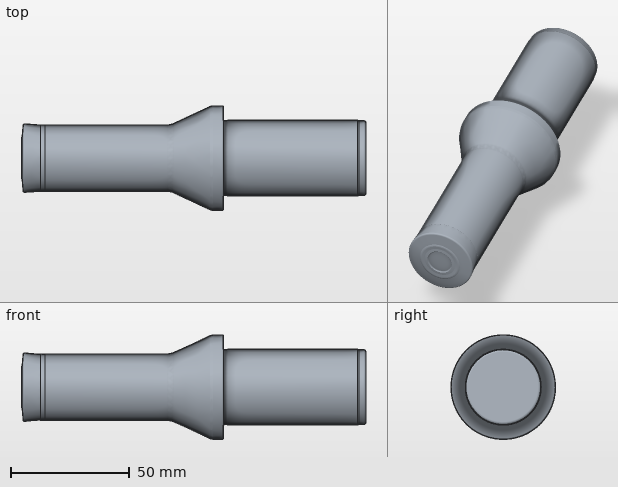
import cadquery as cq
import math

overall_length = 145.0

shaft_radius = 14.0
shank_radius = 16.0
relief_radius = 31.5 / 2
flange_radius = 22.0

flange_back = 85.0
flange_rim_length = 5.0
cone_angle = math.radians(25.0)
cone_foot_fillet = 5.0
cone_top_fillet = 3.0
flange_back_fillet = 0.5
cone_top = flange_back - flange_rim_length
cone_foot = cone_top - (flange_radius - shaft_radius) / math.tan(cone_angle)

undercut_width = 2.1
undercut_slope = 1.0
undercut_fillet = 0.4

pilot_length = 3.0
pilot_slope = 0.5
pilot_fillet = 1.0

tip_radius = 14.43
tip_widest = 1.4
plug_end = 9.8
plug_end_radius = 13.8
shaft_front = 8.05
taper = (tip_radius - plug_end_radius) / (plug_end - tip_widest)
seat_mouth_radius = tip_radius - taper * (shaft_front - tip_widest)

pocket_floor = (0.5, 5.0)
pocket_rim = (0.03, 5.5)
ring_valley = (0.14, 6.8)
ring_crest = (0.0, 8.1)
ring_foot = (0.25, 9.0)
face_rim = (0.69, 13.8)
pocket_wall_bulge = -0.08
ring_foot_bulge = 0.06
rim_bulge = 0.18

tolerance = 1e-4


def revolve_about_axis(profile):
    """Turn a closed half profile into a solid around the X axis."""
    return profile.close().revolve(360, (0, 0, 0), (1, 0, 0))


def bulged_arc(profile, start, end, bulge):
    """Add an arc from start to end whose middle lies `bulge` to the left of the chord."""
    run = end[0] - start[0]
    rise = end[1] - start[1]
    chord = math.hypot(run, rise)
    middle = (
        (start[0] + end[0]) / 2 - bulge * rise / chord,
        (start[1] + end[1]) / 2 + bulge * run / chord,
    )
    return profile.threePointArc(middle, end)


def fillet_ring(body, position, ring_radius, fillet_radius):
    """Round the circular edge of the given radius at the given distance along X."""

    def is_ring(edge):
        if edge.geomType() != "CIRCLE":
            return False
        in_place = abs(edge.Center().x - position) < tolerance
        return in_place and abs(edge.radius() - ring_radius) < tolerance

    rings = [edge for edge in body.edges().vals() if is_ring(edge)]
    return body.newObject(rings).fillet(fillet_radius)


def make_tip():
    """Tapered plug with a slightly conical, ringed face and a shallow centre pocket."""
    profile = cq.Workplane("XY").moveTo(pocket_floor[0], 0).lineTo(*pocket_floor)
    profile = bulged_arc(profile, pocket_floor, pocket_rim, pocket_wall_bulge)
    profile = profile.lineTo(*ring_valley).lineTo(*ring_crest)
    profile = bulged_arc(profile, ring_crest, ring_foot, ring_foot_bulge)
    profile = profile.lineTo(*face_rim)
    profile = bulged_arc(profile, face_rim, (tip_widest, tip_radius), rim_bulge)
    profile = profile.lineTo(plug_end, plug_end_radius).lineTo(plug_end, 0)
    return revolve_about_axis(profile)


def make_body():
    """Shaft, coned flange and shank in one piece, with the tapered seat for the tip."""
    slope_start = flange_back + undercut_width - undercut_slope
    pilot_start = overall_length - pilot_length
    profile = (
        cq.Workplane("XY")
        .moveTo(plug_end, 0)
        .lineTo(plug_end, plug_end_radius)
        .lineTo(shaft_front, seat_mouth_radius)
        .lineTo(shaft_front, shaft_radius)
        .lineTo(cone_foot, shaft_radius)
        .lineTo(cone_top, flange_radius)
        .lineTo(flange_back, flange_radius)
        .lineTo(flange_back, relief_radius)
        .lineTo(slope_start, relief_radius)
        .lineTo(flange_back + undercut_width, shank_radius)
        .lineTo(pilot_start - pilot_slope, shank_radius)
        .lineTo(pilot_start, relief_radius)
        .lineTo(overall_length, relief_radius)
        .lineTo(overall_length, 0)
    )
    body = revolve_about_axis(profile)
    body = fillet_ring(body, cone_foot, shaft_radius, cone_foot_fillet)
    body = fillet_ring(body, cone_top, flange_radius, cone_top_fillet)
    body = fillet_ring(body, flange_back, flange_radius, flange_back_fillet)
    body = fillet_ring(body, flange_back, relief_radius, undercut_fillet)
    return fillet_ring(body, overall_length, relief_radius, pilot_fillet)


tip = make_tip()
body = make_body()
result = cq.Compound.makeCompound([tip.val(), body.val()])